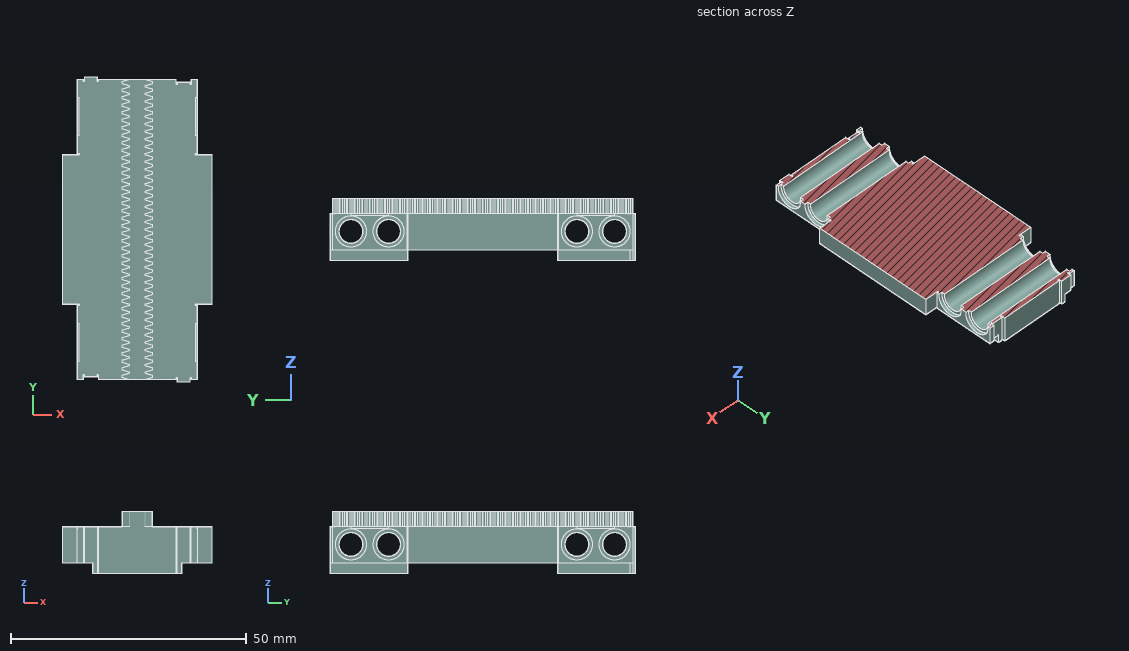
import cadquery as cq
import math

GRID = 8.0

BODY_LENGTH = 63.8
BODY_WIDTH = 25.5
BODY_HEIGHT = 7.8
BLOCK_SIZE = 31.8

FOOT_WIDTH = 19.0
FOOT_HEIGHT = 2.2

RACK_HEIGHT = 3.2
RACK_HALF_WIDTH = 3.2
TOOTH_DEPTH = 1.6
TEETH_PER_GRID = 5
TOOTH_PITCH = GRID / TEETH_PER_GRID
TOOTH_TIP_WIDTH = 0.46
TOOTH_GAP_ROOT_WIDTH = 0.2
GAPS_EACH_WAY = math.ceil(BODY_LENGTH / 2 / TOOTH_PITCH)

JOINT_X = 9.85
TAB_WIDTH = 2.8
TAB_LENGTH = 0.5
NOTCH_DEPTH = 0.6

RELIEF_WIDTH = 0.2
RELIEF_DEPTH = 0.4
NOTCH_WIDTH = TAB_WIDTH + 2 * RELIEF_WIDTH

HOLE_DIAMETER = 5.0
COUNTERBORE_DIAMETER = 6.6
COUNTERBORE_DEPTH = 0.85
HOLE_Z = GRID / 2
HOLE_Y = (2.5 * GRID, 3.5 * GRID)

STEP_SIZE = 0.4

BODY_HALF_LENGTH = BODY_LENGTH / 2
BODY_HALF_WIDTH = BODY_WIDTH / 2
BLOCK_HALF = BLOCK_SIZE / 2
SIDES = (-1, 1)


def box(x_range, y_range, z_range):
    """Box between the given limits, each pair in either order."""
    x_min, x_max = sorted(x_range)
    y_min, y_max = sorted(y_range)
    z_min, z_max = sorted(z_range)
    return cq.Workplane("XY").box(
        x_max - x_min, y_max - y_min, z_max - z_min, centered=False
    ).translate((x_min, y_min, z_min))


def full_height_box(x_center, x_width, y_range):
    """Box through the plate and feet, centred at x_center."""
    half = x_width / 2
    return box((x_center - half, x_center + half), y_range, (-FOOT_HEIGHT, BODY_HEIGHT))


def make_end(end):
    """One end of the bar with its tab, notch and reliefs; end is -1 or +1 along Y."""
    face_y = end * BODY_HALF_LENGTH
    tab_x = -end * JOINT_X
    notch_x = end * JOINT_X
    notch_floor_y = face_y - end * NOTCH_DEPTH

    solid = full_height_box(0, BODY_WIDTH, (0, face_y))
    solid = solid.union(full_height_box(tab_x, TAB_WIDTH, (0, face_y + end * TAB_LENGTH)))
    solid = solid.cut(full_height_box(notch_x, NOTCH_WIDTH, (notch_floor_y, face_y)))

    relief_offset = (TAB_WIDTH + RELIEF_WIDTH) / 2
    for side in SIDES:
        for joint_x, floor_y in ((tab_x, face_y), (notch_x, notch_floor_y)):
            relief_x = joint_x + side * relief_offset
            relief_y = (floor_y, floor_y - end * RELIEF_DEPTH)
            solid = solid.cut(full_height_box(relief_x, RELIEF_WIDTH, relief_y))
    return solid


def trim_feet(end_solid, end):
    """Keep the lower layer only inside the foot width and outside the square block."""
    far_y = end * BODY_LENGTH
    lower_z = (-FOOT_HEIGHT, 0)
    for side in SIDES:
        outer_x = (side * FOOT_WIDTH / 2, side * BODY_WIDTH)
        end_solid = end_solid.cut(box(outer_x, (0, far_y), lower_z))
    return end_solid.cut(box((-BODY_WIDTH, BODY_WIDTH), (0, end * BLOCK_HALF), lower_z))


def cut_corner_reliefs(solid):
    """Slots into the bar sides where they meet the square block."""
    for side in SIDES:
        for end in SIDES:
            x_range = (side * BODY_HALF_WIDTH, side * (BODY_HALF_WIDTH - RELIEF_DEPTH))
            y_range = (end * BLOCK_HALF, end * (BLOCK_HALF + RELIEF_WIDTH))
            solid = solid.cut(box(x_range, y_range, (0, BODY_HEIGHT)))
    return solid


def cylinder_along_x(diameter, x_start, length, y):
    """Cylinder at hole height, from x_start by a signed length."""
    return (
        cq.Workplane("YZ", origin=(x_start, y, HOLE_Z))
        .circle(diameter / 2)
        .extrude(length)
    )


def cut_cross_holes(solid):
    """Counterbored holes along X near both ends of the bar."""
    for end in SIDES:
        for hole_y in HOLE_Y:
            y = end * hole_y
            solid = solid.cut(cylinder_along_x(HOLE_DIAMETER, -BODY_HALF_WIDTH, BODY_WIDTH, y))
            for side in SIDES:
                bore = cylinder_along_x(
                    COUNTERBORE_DIAMETER, side * BODY_HALF_WIDTH, -side * COUNTERBORE_DEPTH, y
                )
                solid = solid.cut(bore)
    return solid


def cut_edge_steps(solid):
    """Shallow steps in the top side edges above the holes."""
    for side in SIDES:
        for end in SIDES:
            x_range = (side * BODY_HALF_WIDTH, side * (BODY_HALF_WIDTH - STEP_SIZE))
            y_range = [end * hole_y for hole_y in HOLE_Y]
            solid = solid.cut(box(x_range, y_range, (BODY_HEIGHT - STEP_SIZE, BODY_HEIGHT)))
    return solid


def make_tooth_gap(side, y):
    """Trapezoidal gap between two rack teeth, centred at y."""
    tip_half = (TOOTH_PITCH - TOOTH_TIP_WIDTH) / 2
    root_half = TOOTH_GAP_ROOT_WIDTH / 2
    tip_x = side * RACK_HALF_WIDTH
    root_x = side * (RACK_HALF_WIDTH - TOOTH_DEPTH)
    return (
        cq.Workplane("XY", origin=(0, y, BODY_HEIGHT))
        .polyline([(tip_x, -tip_half), (root_x, -root_half), (root_x, root_half), (tip_x, tip_half)])
        .close()
        .extrude(RACK_HEIGHT)
    )


def make_rack():
    """Bar with teeth on both long sides, a gap centred on the middle of the part."""
    rack = box(
        (-RACK_HALF_WIDTH, RACK_HALF_WIDTH),
        (-BODY_HALF_LENGTH, BODY_HALF_LENGTH),
        (BODY_HEIGHT, BODY_HEIGHT + RACK_HEIGHT),
    )
    gaps = []
    for side in SIDES:
        for index in range(-GAPS_EACH_WAY, GAPS_EACH_WAY + 1):
            gaps.append(make_tooth_gap(side, index * TOOTH_PITCH).val())
    return rack.cut(cq.Workplane(cq.Compound.makeCompound(gaps)))


plate = box((-BLOCK_HALF, BLOCK_HALF), (-BLOCK_HALF, BLOCK_HALF), (0, BODY_HEIGHT))
for end_sign in SIDES:
    plate = plate.union(trim_feet(make_end(end_sign), end_sign))
plate = cut_corner_reliefs(plate)
plate = cut_cross_holes(plate)
plate = cut_edge_steps(plate)

result = plate.union(make_rack())